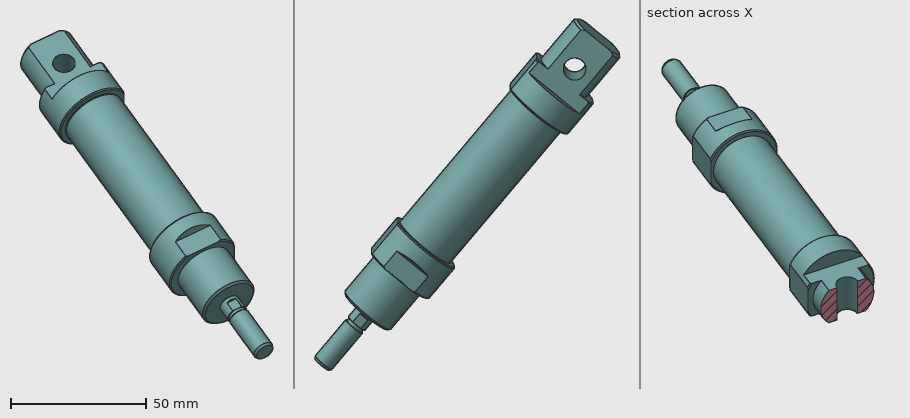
import cadquery as cq
import math


TOTAL_LENGTH = 160.5
REAR_COLLAR_START = 20.0
REAR_SHOULDER = 25.7
REAR_COLLAR_END = 35.5
BARREL_START = REAR_COLLAR_END + 0.5
FRONT_COLLAR_START = 100.6
FRONT_COLLAR_END = 116.0
BOSS_END = 134.7
SHANK_END = 140.5
THREAD_START = 141.9

COLLAR_RADIUS = 29.0 / 2
BARREL_RADIUS = 12.0
BOSS_RADIUS = 11.0
ROD_RADIUS = 4.0
ROD_NECK_RADIUS = 3.5

COLLAR_CHAMFER = 0.5
BOSS_CHAMFER = 0.8
TONGUE_CHAMFER = 1.0
ROD_TIP_CHAMFER_LENGTH = 1.0
ROD_TIP_CHAMFER_DEPTH = 0.5

MOUNTING_FLAT = 27.6 - COLLAR_RADIUS
TONGUE_HALF_THICKNESS = 8.0
COLLAR_WRENCH_FLAT = 24.9 / 2
ROD_WRENCH_FLAT = 3.5

PIVOT_X = 13.8
PIVOT_DIAMETER = 8.3

COLLAR_FLAT_START = 108.0
ROD_FLAT_START = 136.3
FLAT_WALL_LEAN = 30.0


def turned(profile):
    """Revolve (x, radius) points, closed along the axis, about the X axis."""
    outline = [(profile[0][0], 0), *profile, (profile[-1][0], 0)]
    return cq.Workplane("XZ").polyline(outline).close().revolve(360, (0, 0), (1, 0))


def collar_profile(start, end):
    """Points of a collar with both rims chamfered."""
    rim_radius = COLLAR_RADIUS - COLLAR_CHAMFER
    return [
        (start, rim_radius),
        (start + COLLAR_CHAMFER, COLLAR_RADIUS),
        (end - COLLAR_CHAMFER, COLLAR_RADIUS),
        (end, rim_radius),
    ]


def cut_mounting_flat(cap, start, end):
    """Plane off the +Y side of a collar."""
    waste = cq.Workplane("XY").box(
        end - start, COLLAR_RADIUS, 2 * COLLAR_RADIUS, centered=(False, False, True)
    ).translate((start, MOUNTING_FLAT, 0))
    return cap.cut(waste)


def cut_wrench_flats(body, start, end, flat, radius):
    """Mill flats on the +Z and -Z sides, each starting at a leaning wall."""
    top = 2 * radius - flat
    wall_run = (top - flat) * math.tan(math.radians(FLAT_WALL_LEAN))
    waste = (
        cq.Workplane("XZ")
        .polyline([(start, flat), (end, flat), (end, top), (start - wall_run, top)])
        .close()
        .extrude(radius, both=True)
    )
    return body.cut(waste).cut(waste.mirror("XY"))


def make_rear_cap():
    tongue = [
        (0, BOSS_RADIUS - TONGUE_CHAMFER),
        (TONGUE_CHAMFER, BOSS_RADIUS),
        (REAR_COLLAR_START, BOSS_RADIUS),
    ]
    lip = [(REAR_COLLAR_END, BARREL_RADIUS), (BARREL_START, BARREL_RADIUS)]
    cap = turned(tongue + collar_profile(REAR_COLLAR_START, REAR_COLLAR_END) + lip)
    cap = cut_mounting_flat(cap, REAR_COLLAR_START, REAR_COLLAR_END)

    waste = cq.Workplane("XY").box(
        REAR_SHOULDER, 2 * COLLAR_RADIUS, COLLAR_RADIUS, centered=(False, True, False)
    ).translate((0, 0, TONGUE_HALF_THICKNESS))
    cap = cap.cut(waste).cut(waste.mirror("XY"))

    pivot_hole = (
        cq.Workplane("XY")
        .center(PIVOT_X, 0)
        .circle(PIVOT_DIAMETER / 2)
        .extrude(COLLAR_RADIUS, both=True)
    )
    return cap.cut(pivot_hole)


def make_barrel():
    return turned([(BARREL_START, BARREL_RADIUS), (FRONT_COLLAR_START, BARREL_RADIUS)])


def make_front_cap():
    boss = [
        (FRONT_COLLAR_END, BOSS_RADIUS),
        (BOSS_END - BOSS_CHAMFER, BOSS_RADIUS),
        (BOSS_END, BOSS_RADIUS - BOSS_CHAMFER),
    ]
    cap = turned(collar_profile(FRONT_COLLAR_START, FRONT_COLLAR_END) + boss)
    cap = cut_mounting_flat(cap, FRONT_COLLAR_START, FRONT_COLLAR_END)
    return cut_wrench_flats(cap, COLLAR_FLAT_START, FRONT_COLLAR_END, COLLAR_WRENCH_FLAT, COLLAR_RADIUS)


def make_rod():
    profile = [
        (BOSS_END, ROD_RADIUS),
        (SHANK_END, ROD_RADIUS),
        (SHANK_END, ROD_NECK_RADIUS),
        (THREAD_START, ROD_NECK_RADIUS),
        (THREAD_START, ROD_RADIUS),
        (TOTAL_LENGTH - ROD_TIP_CHAMFER_LENGTH, ROD_RADIUS),
        (TOTAL_LENGTH, ROD_RADIUS - ROD_TIP_CHAMFER_DEPTH),
    ]
    rod = turned(profile)
    return cut_wrench_flats(rod, ROD_FLAT_START, SHANK_END, ROD_WRENCH_FLAT, ROD_RADIUS)


rear_cap = make_rear_cap()
barrel = make_barrel()
front_cap = make_front_cap()
rod = make_rod()

result = cq.Compound.makeCompound([rear_cap.val(), barrel.val(), front_cap.val(), rod.val()])